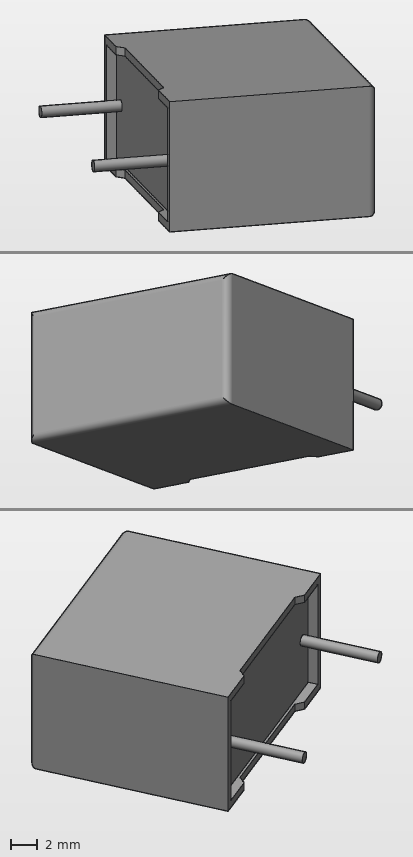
import cadquery as cq

overall_length = 21.6
case_width = 18.5
case_height = 10.22
case_length = 16.11
side_wall = 0.58
broad_wall = 0.65
back_fillet = 0.55

notch_depth = 0.56
notch_mouth_width = 12.05
notch_floor_width = notch_mouth_width - 2 * notch_depth

resin_recess = 0.78
cavity_width = case_width - 2 * side_wall
cavity_height = case_height - 2 * broad_wall
resin_length = case_length - side_wall - resin_recess

lead_diameter = 0.89
lead_spacing = 15.0
lead_projection = overall_length - case_length


def block(width, length, height, start_y):
    """Box centred on X and Z, reaching from start_y toward +Y."""
    return cq.Workplane("XY").box(width, length, height, centered=(True, False, True)).translate((0, start_y, 0))


def make_rim_notch():
    """Trapezoidal cutter that lowers the rim of both broad walls."""
    return (
        cq.Workplane("XY")
        .moveTo(-notch_mouth_width / 2, 0)
        .lineTo(notch_mouth_width / 2, 0)
        .lineTo(notch_floor_width / 2, notch_depth)
        .lineTo(-notch_floor_width / 2, notch_depth)
        .close()
        .extrude(case_height / 2, both=True)
    )


def make_case():
    """Open box with a rounded back and a notched rim."""
    shell = block(case_width, case_length, case_height, 0).faces(">Y").edges().fillet(back_fillet)
    cavity = block(cavity_width, case_length - side_wall, cavity_height, 0)
    return shell.cut(cavity).cut(make_rim_notch())


def make_resin():
    """Potting block that fills the cavity up to the recessed face."""
    return block(cavity_width, resin_length, cavity_height, resin_recess)


def make_lead(x):
    """Round lead standing on the resin face and pointing toward -Y."""
    return (
        cq.Workplane("XZ", origin=(x, resin_recess, 0))
        .circle(lead_diameter / 2)
        .extrude(resin_recess + lead_projection)
    )


case = make_case()
resin = make_resin()
leads = [make_lead(side * lead_spacing / 2) for side in (-1, 1)]

result = cq.Compound.makeCompound([case.val(), resin.val(), *[lead.val() for lead in leads]])